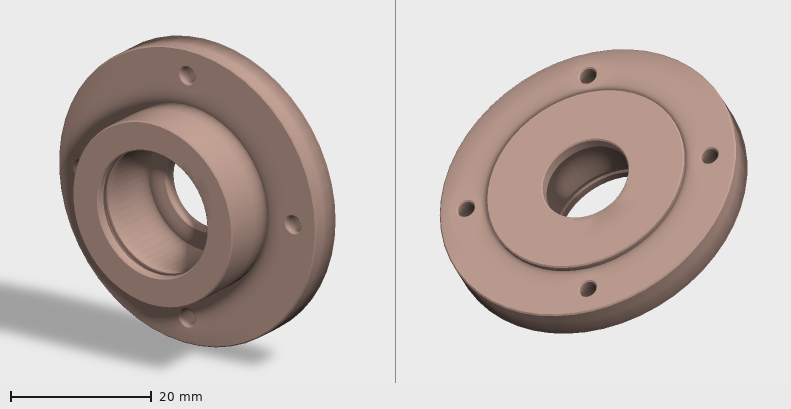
import cadquery as cq

hub_length = 8.5
flange_thickness = 5.0
spigot_length = 1.0
flange_back = hub_length + flange_thickness
total_length = flange_back + spigot_length

flange_diameter = 45.0
hub_diameter = 28.0
spigot_diameter = 30.0
bore_diameter = 19.0
through_diameter = 13.0

floor_thickness = 2.0
bore_depth = total_length - floor_thickness
groove_diameter = 20.0
groove_start = 1.3
groove_width = 1.1

hole_diameter = 2.5
hole_circle_diameter = 37.0
hole_count = 4

edge_chamfer = 0.2


def cylinder(diameter, start, length):
    """Solid cylinder along +Y, beginning at Y = start."""
    return cq.Workplane("XZ", origin=(0, start, 0)).circle(diameter / 2).extrude(-length)


def chamfered_cylinder(diameter, start, length, edges):
    """Cylinder along +Y with the selected end edges broken."""
    return cylinder(diameter, start, length).edges(edges).chamfer(edge_chamfer)


def entry_chamfer(diameter, face, direction):
    """Conical cutter that breaks a hole edge at Y = face, narrowing along direction."""
    return (
        cq.Workplane("XZ", origin=(0, face, 0))
        .circle(diameter / 2 + edge_chamfer)
        .workplane(offset=-direction * edge_chamfer)
        .circle(diameter / 2)
        .loft()
    )


def turned_body():
    hub = chamfered_cylinder(hub_diameter, 0, flange_back, "<Y")
    flange = chamfered_cylinder(flange_diameter, hub_length, flange_thickness, "<Y or >Y")
    spigot = chamfered_cylinder(spigot_diameter, hub_length + flange_thickness / 2,
                                flange_thickness / 2 + spigot_length, ">Y")
    return hub.union(flange).union(spigot)


def bore_cutter():
    bore = cylinder(bore_diameter, 0, bore_depth)
    groove = cylinder(groove_diameter, groove_start, groove_width)
    through = cylinder(through_diameter, 0, total_length)
    return (
        bore.union(groove)
        .union(through)
        .union(entry_chamfer(bore_diameter, 0, 1))
        .union(entry_chamfer(through_diameter, bore_depth, 1))
        .union(entry_chamfer(through_diameter, total_length, -1))
    )


def mounting_hole_cutter():
    return (
        cylinder(hole_diameter, hub_length, flange_thickness)
        .union(entry_chamfer(hole_diameter, hub_length, 1))
        .union(entry_chamfer(hole_diameter, flange_back, -1))
        .translate((hole_circle_diameter / 2, 0, 0))
    )


result = turned_body().cut(bore_cutter())
for index in range(hole_count):
    angle = index * 360 / hole_count
    result = result.cut(mounting_hole_cutter().rotate((0, 0, 0), (0, 1, 0), angle))